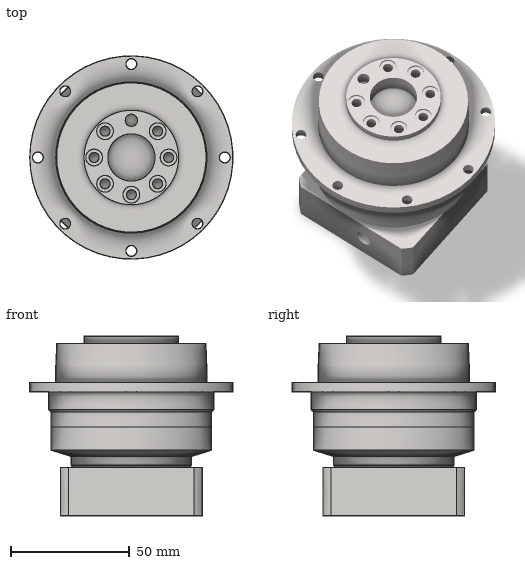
import cadquery as cq
import math


OVERALL_HEIGHT = 76.0
HOUSING_TOP = 73.0
TAPER_START = 63.3
FLANGE_TOP = 56.4
FLANGE_THICKNESS = 3.95
PILOT_BOTTOM = 44.0
JOINT_HEIGHT = 37.5
CONE_TOP = 27.8
CONE_BOTTOM = 25.1
BLOCK_HEIGHT = 20.5
FLANGE_BOTTOM = FLANGE_TOP - FLANGE_THICKNESS

FLANGE_DIAMETER = 86.0
PILOT_DIAMETER = 70.0
BODY_DIAMETER = 68.0
COLLAR_DIAMETER = 64.0
COLLAR_TOP_DIAMETER = 63.1
NECK_DIAMETER = 51.0
OUTPUT_DIAMETER = 40.0
PILOT_CHAMFER_HEIGHT = 0.9

GROOVE_DEPTH = 0.53

HOLE_COUNT = 8
FLANGE_HOLE_CIRCLE = 79.0
FLANGE_HOLE_DIAMETER = 4.5
OUTPUT_HOLE_CIRCLE = 31.5
BOLT_HOLE_DIAMETER = 4.2
BOLT_HOLE_DEPTH = 8.6
BOLT_RECESS_DIAMETER = 7.05
BOLT_RECESS_DEPTH = 0.9
DRILL_POINT_ANGLE = 118
PIN_HOLE_INDEX = 2
PIN_HOLE_DIAMETER = 5.2
PIN_HOLE_DEPTH = 6.0
BORE_DIAMETER = 19.95
BORE_DEPTH = 8.0

BLOCK_SIDE = 60.0
BLOCK_CORNER_DIAMETER = 80.1
ACCESS_DIAMETER = 7.0
ACCESS_DEPTH = 10.3
ACCESS_Y = -6.5
ACCESS_Z = 10.5
SCREW_HEAD_DIAMETER = 7.0
SCREW_HEAD_HEIGHT = 4.0
SCREW_HEAD_ROUND = 0.4
SCREW_HEAD_RISE = 0.5
SOCKET_WIDTH = 3.0
SOCKET_DEPTH = 2.0


def turned(profile):
    """Revolve a closed (radius, z) profile about the Z axis."""
    points = [(-radius, z) for radius, z in profile]
    return cq.Workplane("XZ").polyline(points).close().revolve(360, (0, 0, 0), (0, 1, 0))


def drilled(diameter, top, depth):
    """Flat-bottomed cylinder reaching down from z = top."""
    return cq.Workplane("XY").workplane(offset=top).circle(diameter / 2).extrude(-depth)


def on_circle(tool, circle_diameter, index):
    """Move a tool from the Z axis to one of the equally spaced places on a circle."""
    placed = tool.translate((circle_diameter / 2, 0, 0))
    return placed.rotate((0, 0, 0), (0, 0, 1), index * 360 / HOLE_COUNT)


def output_housing_blank():
    body = BODY_DIAMETER / 2
    pilot = PILOT_DIAMETER / 2
    flange = FLANGE_DIAMETER / 2
    collar = COLLAR_DIAMETER / 2
    collar_top = COLLAR_TOP_DIAMETER / 2
    output = OUTPUT_DIAMETER / 2
    return turned([
        (0, JOINT_HEIGHT),
        (body, JOINT_HEIGHT),
        (body, PILOT_BOTTOM),
        (pilot, PILOT_BOTTOM + PILOT_CHAMFER_HEIGHT),
        (pilot, FLANGE_BOTTOM),
        (flange, FLANGE_BOTTOM),
        (flange, FLANGE_TOP),
        (collar, FLANGE_TOP),
        (collar, TAPER_START),
        (collar_top, HOUSING_TOP),
        (output, HOUSING_TOP),
        (output, OVERALL_HEIGHT),
        (0, OVERALL_HEIGHT),
    ])


def bolt_hole():
    """Recessed blind hole with a conical drill point."""
    radius = BOLT_HOLE_DIAMETER / 2
    recess = BOLT_RECESS_DIAMETER / 2
    recess_floor = OVERALL_HEIGHT - BOLT_RECESS_DEPTH
    hole_floor = OVERALL_HEIGHT - BOLT_HOLE_DEPTH
    point_length = radius / math.tan(math.radians(DRILL_POINT_ANGLE / 2))
    return turned([
        (0, OVERALL_HEIGHT),
        (recess, OVERALL_HEIGHT),
        (recess, recess_floor),
        (radius, recess_floor),
        (radius, hole_floor),
        (0, hole_floor - point_length),
    ])


def make_output_housing():
    housing = output_housing_blank().cut(drilled(BORE_DIAMETER, OVERALL_HEIGHT, BORE_DEPTH))
    flange_hole = drilled(FLANGE_HOLE_DIAMETER, FLANGE_TOP, FLANGE_THICKNESS)
    pin_hole = drilled(PIN_HOLE_DIAMETER, OVERALL_HEIGHT, PIN_HOLE_DEPTH)
    for index in range(HOLE_COUNT):
        output_hole = pin_hole if index == PIN_HOLE_INDEX else bolt_hole()
        housing = housing.cut(on_circle(flange_hole, FLANGE_HOLE_CIRCLE, index))
        housing = housing.cut(on_circle(output_hole, OUTPUT_HOLE_CIRCLE, index))
    return housing


def input_housing_body():
    """Turned upper part of the input housing: body, cone, neck and V-groove."""
    body = BODY_DIAMETER / 2
    neck = NECK_DIAMETER / 2
    return turned([
        (0, BLOCK_HEIGHT),
        (neck, BLOCK_HEIGHT),
        (neck - GROOVE_DEPTH, BLOCK_HEIGHT + GROOVE_DEPTH),
        (neck, BLOCK_HEIGHT + 2 * GROOVE_DEPTH),
        (neck, CONE_BOTTOM),
        (body, CONE_TOP),
        (body, JOINT_HEIGHT),
        (0, JOINT_HEIGHT),
    ])


def square_block():
    """Square block with its four corners turned to a common diameter."""
    block = cq.Workplane("XY").rect(BLOCK_SIDE, BLOCK_SIDE).extrude(BLOCK_HEIGHT)
    corners = cq.Workplane("XY").circle(BLOCK_CORNER_DIAMETER / 2).extrude(BLOCK_HEIGHT)
    return block.intersect(corners)


def access_hole():
    mouth = (-BLOCK_SIDE / 2, ACCESS_Y, ACCESS_Z)
    return cq.Workplane("YZ", origin=mouth).circle(ACCESS_DIAMETER / 2).extrude(ACCESS_DEPTH)


def screw_head():
    """Round-edged socket head standing on the floor of the access hole, facing -X."""
    floor_x = -BLOCK_SIDE / 2 + ACCESS_DEPTH
    base = (floor_x, ACCESS_Y, ACCESS_Z + SCREW_HEAD_RISE)
    head = cq.Workplane("YZ", origin=base).circle(SCREW_HEAD_DIAMETER / 2).extrude(-SCREW_HEAD_HEIGHT)
    head = head.faces("<X").edges().fillet(SCREW_HEAD_ROUND)
    corner_diameter = SOCKET_WIDTH / math.cos(math.radians(30))
    socket = (
        cq.Workplane("YZ", origin=base)
        .workplane(offset=-SCREW_HEAD_HEIGHT)
        .transformed(rotate=(0, 0, 90))
        .polygon(6, corner_diameter)
        .extrude(SOCKET_DEPTH)
    )
    return head.cut(socket)


def make_input_housing():
    housing = square_block().union(input_housing_body())
    return housing.cut(access_hole()).union(screw_head())


output_housing = make_output_housing().solids()
input_housing = make_input_housing().solids()

result = cq.Compound.makeCompound([output_housing.val(), input_housing.val()])